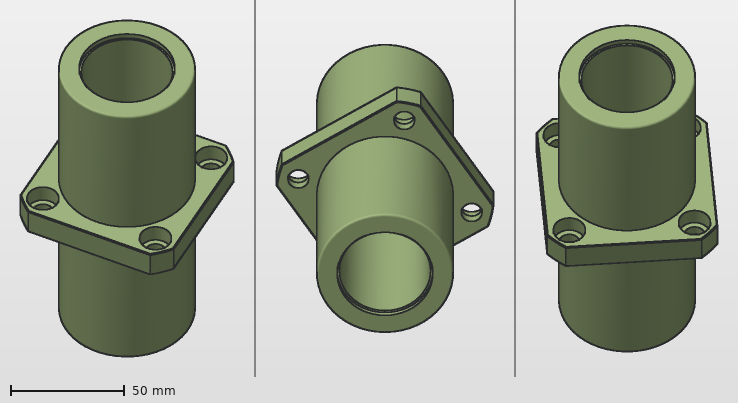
import cadquery as cq

length = 151.0
tube_diameter = 60.0
bore_diameter = 40.0
recess_diameter = 42.0
recess_depth = 2.5
tube_edge_radius = 1.0

flange_width = 75.0
flange_corner_diameter = 95.9
flange_thickness = 13.0
flange_edge_chamfer = 0.5

hole_count = 4
hole_circle_radius = 39.0
hole_diameter = 9.0
counterbore_diameter = 14.0
counterbore_depth = 8.2

flange_top = flange_thickness / 2


def centered_cylinder(diameter, height):
    return cq.Workplane("XY").circle(diameter / 2).extrude(height / 2, both=True)


def make_tube():
    return centered_cylinder(tube_diameter, length).faces("<Z or >Z").edges().fillet(tube_edge_radius)


def make_flange():
    square = cq.Workplane("XY").box(flange_width, flange_width, flange_thickness)
    diamond = square.rotate((0, 0, 0), (0, 0, 1), 45)
    flange = diamond.intersect(centered_cylinder(flange_corner_diameter, flange_thickness))
    flange = flange.faces("<Z or >Z").edges().chamfer(flange_edge_chamfer)
    return (
        flange.faces(">Z")
        .workplane(origin=(0, 0, flange_top))
        .polarArray(hole_circle_radius, 0, 360, hole_count)
        .cboreHole(hole_diameter, counterbore_diameter, counterbore_depth)
    )


def make_bore():
    bore = centered_cylinder(bore_diameter, length)
    for side in (-1, 1):
        recess = centered_cylinder(recess_diameter, recess_depth)
        bore = bore.union(recess.translate((0, 0, side * (length - recess_depth) / 2)))
    return bore


result = make_tube().union(make_flange()).cut(make_bore())